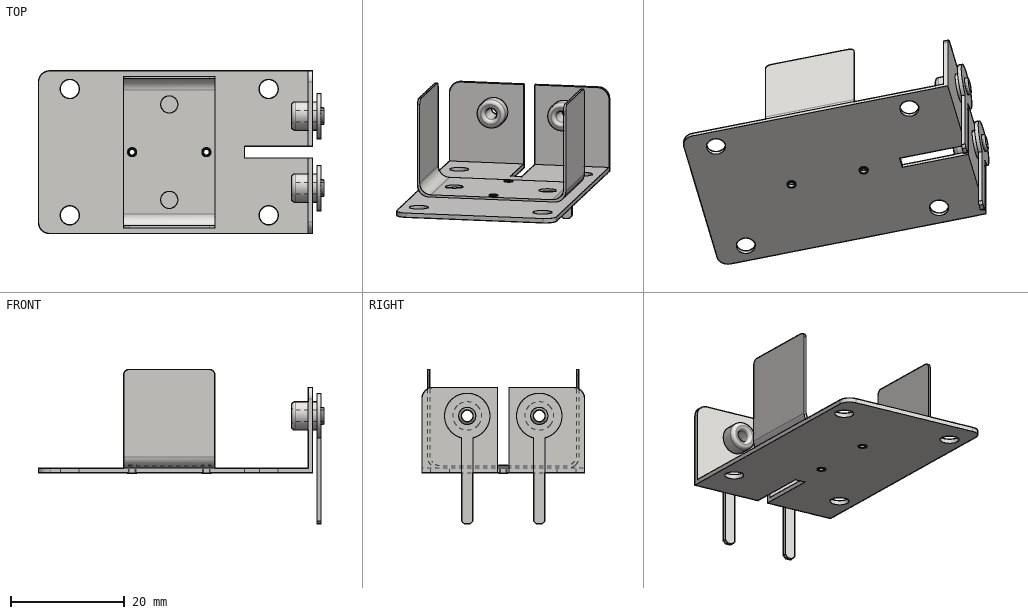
import cadquery as cq

plate_length = 48.15
plate_width = 28.6
plate_thickness = 0.8
tab_height = 15.0
corner_radius = 2.0
slot_width = 2.0
slot_start = 36.2
mount_hole_diameter = 3.3
mount_hole_columns = (5.5, 40.45)
mount_hole_offset = 11.1

clip_center = 22.95
clip_length = 16.05
clip_width = 26.6
clip_top = 18.15
clip_thickness = 0.4
clip_bend_radius = 2.0
clip_corner_radius = 1.0
clip_hole_diameter = 3.0
clip_hole_offset = 8.4

rivet_spacing = 13.05
rivet_bore = 1.0
rivet_shank_diameter = 1.3
rivet_head_diameter = 1.6
rivet_head_height = 0.15
rivet_rounding = 0.125

bushing_offset = 6.3
bushing_height = 10.0
bushing_start = 44.4
bushing_diameter = 5.0
bushing_bore = 2.0
bushing_rounding = 0.7
tail_diameter = 3.0
tail_rounding = 0.3
tail_end = 50.15

terminal_start = 48.9
terminal_thickness = 0.7
terminal_eye_diameter = 8.0
blade_width = 2.0
blade_bottom = -9.0
blade_chamfer = 0.5

clip_floor_top = plate_thickness + clip_thickness
rivet_columns = [clip_center + side * rivet_spacing / 2 for side in (-1, 1)]
bushing_rows = [side * bushing_offset for side in (-1, 1)]


def x_cylinder(diameter, start, end, y):
    """Cylinder along X at bushing height."""
    plane = cq.Workplane("YZ", origin=(start, y, bushing_height))
    return plane.circle(diameter / 2).extrude(end - start)


def z_cylinder(diameter, bottom, top, x, y):
    """Vertical cylinder between two heights."""
    return cq.Workplane("XY", origin=(x, y, bottom)).circle(diameter / 2).extrude(top - bottom)


def make_plate():
    floor = (
        cq.Workplane("XY")
        .box(plate_length, plate_width, plate_thickness, centered=(False, True, False))
        .edges("|Z and <X").fillet(corner_radius)
    )
    upright = (
        cq.Workplane("XY", origin=(plate_length - plate_thickness, 0, 0))
        .box(plate_thickness, plate_width, tab_height, centered=(False, True, False))
        .edges("|X and >Z").fillet(corner_radius)
    )
    slot = cq.Workplane("XY", origin=(slot_start, 0, 0)).box(
        plate_length - slot_start, slot_width, tab_height, centered=(False, True, False)
    )
    mount_holes = (
        cq.Workplane("XY")
        .pushPoints([(x, side * mount_hole_offset) for x in mount_hole_columns for side in (-1, 1)])
        .circle(mount_hole_diameter / 2)
        .extrude(plate_thickness)
    )
    plate = floor.union(upright).cut(slot).cut(mount_holes)
    for x in rivet_columns:
        plate = plate.cut(z_cylinder(rivet_shank_diameter, 0, plate_thickness, x, 0))
    for y in bushing_rows:
        plate = plate.cut(x_cylinder(bushing_diameter, plate_length - plate_thickness, plate_length, y))
    return plate


def make_clip():
    outside = (
        cq.Workplane("XY", origin=(clip_center, 0, plate_thickness))
        .box(clip_length, clip_width, clip_top - plate_thickness, centered=(True, True, False))
        .edges("|X and <Z").fillet(clip_bend_radius)
        .edges("|Y and >Z").fillet(clip_corner_radius)
    )
    inside = (
        cq.Workplane("XY", origin=(clip_center, 0, clip_floor_top))
        .box(clip_length, clip_width - 2 * clip_thickness, clip_top - clip_floor_top,
             centered=(True, True, False))
        .edges("|X and <Z").fillet(clip_bend_radius)
    )
    clip = outside.cut(inside)
    for side in (-1, 1):
        y = side * clip_hole_offset
        clip = clip.cut(z_cylinder(clip_hole_diameter, plate_thickness, clip_floor_top, clip_center, y))
    for x in rivet_columns:
        clip = clip.cut(z_cylinder(rivet_shank_diameter, plate_thickness, clip_floor_top, x, 0))
    return clip


def make_rivet(x):
    bottom = -rivet_head_height
    top = clip_floor_top + rivet_head_height
    rivet = z_cylinder(rivet_shank_diameter, bottom, top, x, 0)
    rivet = rivet.union(z_cylinder(rivet_head_diameter, bottom, 0, x, 0))
    rivet = rivet.union(z_cylinder(rivet_head_diameter, clip_floor_top, top, x, 0))
    rivet = rivet.cut(z_cylinder(rivet_bore, bottom, top, x, 0))
    return rivet.faces("<Z or >Z").edges().fillet(rivet_rounding)


def make_bushing(y):
    """Collar through the tab with a thinner tail through the terminal eye."""
    collar = x_cylinder(bushing_diameter, bushing_start, terminal_start, y)
    tail = x_cylinder(tail_diameter, terminal_start, tail_end, y).faces(">X").edges().fillet(tail_rounding)
    bore = x_cylinder(bushing_bore, bushing_start, tail_end, y)
    return collar.union(tail).cut(bore).faces("<X").edges().fillet(bushing_rounding)


def make_terminal(y):
    terminal_end = terminal_start + terminal_thickness
    eye = x_cylinder(terminal_eye_diameter, terminal_start, terminal_end, y)
    blade = (
        cq.Workplane("XY", origin=(terminal_start, y, blade_bottom))
        .box(terminal_thickness, blade_width, bushing_height - blade_bottom, centered=(False, True, False))
        .edges("|X and <Z").chamfer(blade_chamfer)
    )
    return eye.union(blade).cut(x_cylinder(tail_diameter, terminal_start, terminal_end, y))


plate = make_plate()
clip = make_clip()
rivets = [make_rivet(x) for x in rivet_columns]
bushings = [make_bushing(y) for y in bushing_rows]
terminals = [make_terminal(y) for y in bushing_rows]

result = cq.Compound.makeCompound(
    [body.val() for body in [plate, clip, *rivets, *bushings, *terminals]]
)